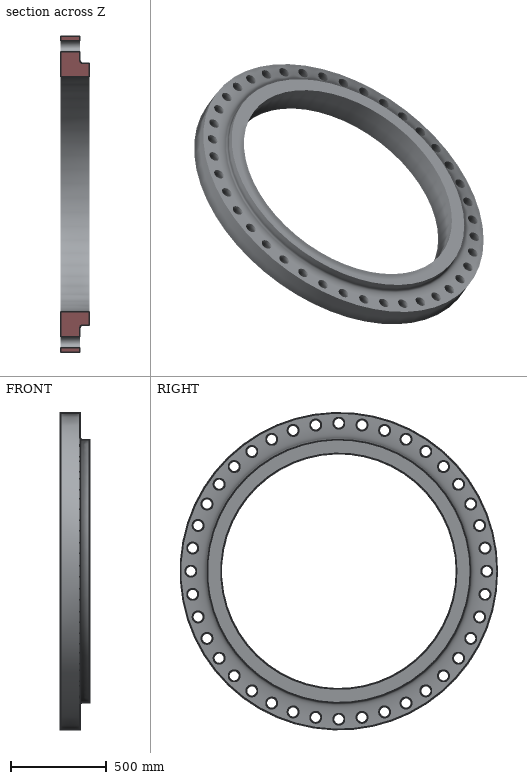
import cadquery as cq

outer_diameter = 1651.0
bore_diameter = 1225.0
total_length = 154.0

raised_face_diameter = 1483.0
raised_face_height = 1.0

hub_start = 104.0
hub_diameter = 1370.0
hub_fillet_radius = 10.0

bolt_count = 40
bolt_circle_diameter = 1542.0
bolt_hole_diameter = 56.0


def flange_body():
    """Plate, raised face and filleted hub, turned about the X axis."""
    bore_radius = bore_diameter / 2
    face_radius = raised_face_diameter / 2
    outer_radius = outer_diameter / 2
    hub_radius = hub_diameter / 2
    profile = (
        cq.Workplane("XY")
        .moveTo(0, bore_radius)
        .lineTo(0, face_radius)
        .lineTo(raised_face_height, face_radius)
        .lineTo(raised_face_height, outer_radius)
        .lineTo(hub_start, outer_radius)
        .lineTo(hub_start, hub_radius + hub_fillet_radius)
        .radiusArc((hub_start + hub_fillet_radius, hub_radius), -hub_fillet_radius)
        .lineTo(total_length, hub_radius)
        .lineTo(total_length, bore_radius)
        .close()
    )
    return profile.revolve(360, (0, 0, 0), (1, 0, 0))


def bolt_holes():
    """Ring of cutters through the flange plate, the first one on the +Y axis."""
    return (
        cq.Workplane("YZ")
        .polarArray(bolt_circle_diameter / 2, 0, 360, bolt_count)
        .circle(bolt_hole_diameter / 2)
        .extrude(hub_start)
    )


result = flange_body().cut(bolt_holes())